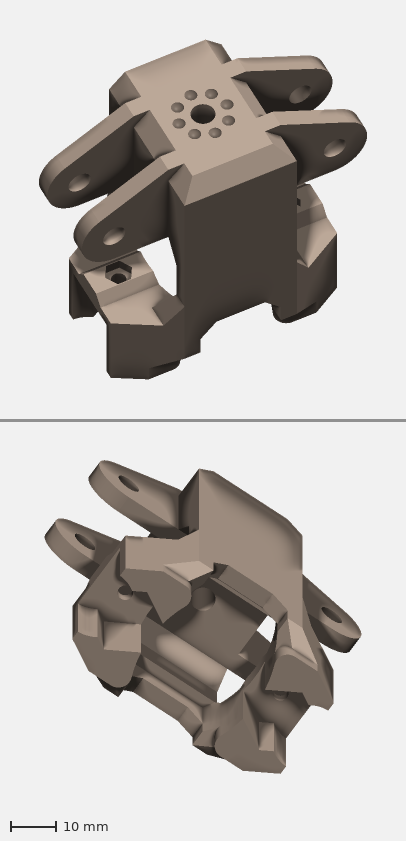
import cadquery as cq
import math

body_width = 37.0
body_depth = 27.95
height = 66.8
wall = 4.0
half_width = body_width / 2
half_depth = body_depth / 2
inner_half_width = half_width - wall

total_length = 70.95
arm_inner_x = 6.4
arm_outer_x = 10.6
arm_bottom_z = 42.7
arm_radius = 8.0
arm_hole_diameter = 5.5
arm_pivot_y = total_length / 2 - arm_radius
arm_pivot_z = arm_bottom_z + arm_radius

centre_hole_diameter = 5.5
dimple_diameter = 3.0
dimple_centre_rise = 0.35
dimple_circle_radius = 5.95
dimple_count = 8

window_corner_z = 36.9
sill_z = 26.55

leg_end_y = 28.2
leg_end_half_width = 10.3
leg_top_z = 19.5
channel_top_z = 16.7
leg_fillet = 3.0
ridge_top_z = 22.0
ridge_top_half_width = 3.05
ridge_base_half_width = 5.3
taper_angle = math.radians(60)

bolt_y = 21.0
bolt_diameter = 3.5
nut_across_flats = 5.75
hex_half_angle = 30
cavity_corner_radius = 8.4
mouth_radius = 8.15
mouth_y = 28.45

pocket_edge_y = half_depth - wall
pocket_centre_y = 14.1
arch_top_z = channel_top_z
underside_z = 2 * wall


def prism_along_x(points):
    """Extrude a (y, z) outline across the full body width."""
    return cq.Workplane("YZ").polyline(points).close().extrude(half_width, both=True)


def prism_along_y(points, length=total_length):
    """Extrude an (x, z) outline, centred on Y."""
    return cq.Workplane("XZ").polyline(points).close().extrude(length / 2, both=True)


def mirrored(half_points):
    """Complete an outline that is symmetric about the second axis."""
    return half_points + [(-u, v) for u, v in reversed(half_points)]


def footprint(z_top):
    """Block with both ends narrowing at the taper angle towards the leg ends."""
    right_side = [(leg_end_half_width, -leg_end_y), (half_width, -half_depth),
                  (half_width, half_depth), (leg_end_half_width, leg_end_y)]
    return cq.Workplane("XY").polyline(mirrored(right_side)).close().extrude(z_top)


def pocket(z_top):
    """Opening between the legs: flat sides, bowed front and back."""
    return (
        cq.Workplane("XY")
        .moveTo(-inner_half_width, -pocket_edge_y)
        .threePointArc((0, -pocket_centre_y), (inner_half_width, -pocket_edge_y))
        .lineTo(inner_half_width, pocket_edge_y)
        .threePointArc((0, pocket_centre_y), (-inner_half_width, pocket_edge_y))
        .close()
        .extrude(z_top)
    )


def upper_body():
    """Tall block chamfered on the front, back and +X top edges."""
    block = cq.Workplane("XY").box(body_width, body_depth, height, centered=(True, True, False))
    return block.faces(">Z").edges(">X or >Y or <Y").chamfer(wall)


def gussets():
    """Sloped braces where the body widens into the legs."""
    foot_y = half_depth + (sill_z - leg_top_z) / math.tan(taper_angle)
    slope = prism_along_x(mirrored([(foot_y, leg_top_z), (half_depth, sill_z)]))
    return footprint(sill_z).intersect(slope)


def ridges():
    """Raised rib along the top of the legs."""
    outline = mirrored([(ridge_base_half_width, leg_top_z), (ridge_top_half_width, ridge_top_z)])
    return prism_along_y(outline, 2 * leg_end_y)


def window():
    """Eight-sided opening through the body along Y."""
    sill_half_width = inner_half_width - (sill_z - leg_top_z) / math.tan(taper_angle)
    return prism_along_y(mirrored([
        (sill_half_width, leg_top_z), (inner_half_width, sill_z),
        (inner_half_width, window_corner_z), (arm_outer_x, arm_bottom_z),
    ]))


def underside_cuts():
    """Arch through the side walls, and the 45 degree undersides of all the walls."""
    arch = prism_along_x(mirrored([
        (pocket_edge_y, 0), (pocket_edge_y, arch_top_z - wall), (pocket_edge_y - wall, arch_top_z),
    ]))
    inner_slope = prism_along_x(mirrored([
        (pocket_edge_y + underside_z, 0), (pocket_edge_y, underside_z),
    ]))
    outer_slopes = prism_along_y(mirrored([
        (half_width, 0), (half_width, underside_z), (inner_half_width, wall),
    ]))
    return arch.union(inner_slope).union(outer_slopes)


def feet():
    """Lower legs inside the side walls, rounded where they face the pocket."""
    core = cq.Workplane("XY").box(
        2 * inner_half_width, total_length, underside_z, centered=(True, True, False)
    )
    legs = footprint(underside_z).intersect(core).cut(pocket(underside_z))
    corners = cq.selectors.BoxSelector(
        (-half_width, -pocket_centre_y, 0), (half_width, pocket_centre_y, underside_z)
    )
    return legs.edges("|Z").edges(corners).fillet(leg_fillet)


def leg_cavity(side):
    """Hexagonal cavity with a round mouth at the leg end, bolt hole and nut seat above it."""
    bolt_axis = cq.Workplane("XY").center(0, side * bolt_y)
    hexagon = bolt_axis.polygon(6, 2 * cavity_corner_radius).extrude(channel_top_z)
    mouth = cq.Workplane("XY").center(0, side * mouth_y).circle(mouth_radius).extrude(channel_top_z)
    bolt_hole = bolt_axis.circle(bolt_diameter / 2).extrude(ridge_top_z)
    nut_seat = (
        bolt_axis.workplane(offset=leg_top_z)
        .transformed(rotate=(0, 0, hex_half_angle))
        .polygon(6, nut_across_flats / math.cos(math.radians(hex_half_angle)))
        .extrude(ridge_top_z - leg_top_z)
    )
    return hexagon.union(mouth).union(bolt_hole).union(nut_seat)


def arm_pair():
    """Two parallel plates, each with a rounded lug and pivot hole at both ends."""
    dy = half_depth - arm_pivot_y
    dz = height - arm_pivot_z
    tangent_angle = math.atan2(dz, dy) - math.acos(arm_radius / math.hypot(dy, dz))
    tangent_y = arm_pivot_y + arm_radius * math.cos(tangent_angle)
    tangent_z = arm_pivot_z + arm_radius * math.sin(tangent_angle)
    tip = total_length / 2
    plate = (
        cq.Workplane("YZ")
        .moveTo(-half_depth, height)
        .lineTo(half_depth, height)
        .lineTo(tangent_y, tangent_z)
        .threePointArc((tip, arm_pivot_z), (arm_pivot_y, arm_bottom_z))
        .lineTo(-arm_pivot_y, arm_bottom_z)
        .threePointArc((-tip, arm_pivot_z), (-tangent_y, tangent_z))
        .close()
        .pushPoints([(-arm_pivot_y, arm_pivot_z), (arm_pivot_y, arm_pivot_z)])
        .circle(arm_hole_diameter / 2)
        .extrude(arm_outer_x - arm_inner_x)
    )
    return plate.translate((arm_inner_x, 0, 0)).union(plate.translate((-arm_outer_x, 0, 0)))


def top_drillings():
    """Centre hole and a ring of spherical dimples in the top face."""
    holes = cq.Workplane("XY").circle(centre_hole_diameter / 2).extrude(height)
    dimple_z = height + dimple_centre_rise
    for index in range(dimple_count):
        angle = 2 * math.pi * index / dimple_count
        x = dimple_circle_radius * math.cos(angle)
        y = dimple_circle_radius * math.sin(angle)
        holes = holes.union(cq.Workplane("XY").sphere(dimple_diameter / 2).translate((x, y, dimple_z)))
    return holes


result = upper_body().union(footprint(leg_top_z)).union(gussets()).cut(window())
result = result.union(ridges()).cut(pocket(ridge_top_z)).cut(underside_cuts())
result = result.union(feet())
for end in (-1, 1):
    result = result.cut(leg_cavity(end))
result = result.union(arm_pair()).cut(top_drillings())